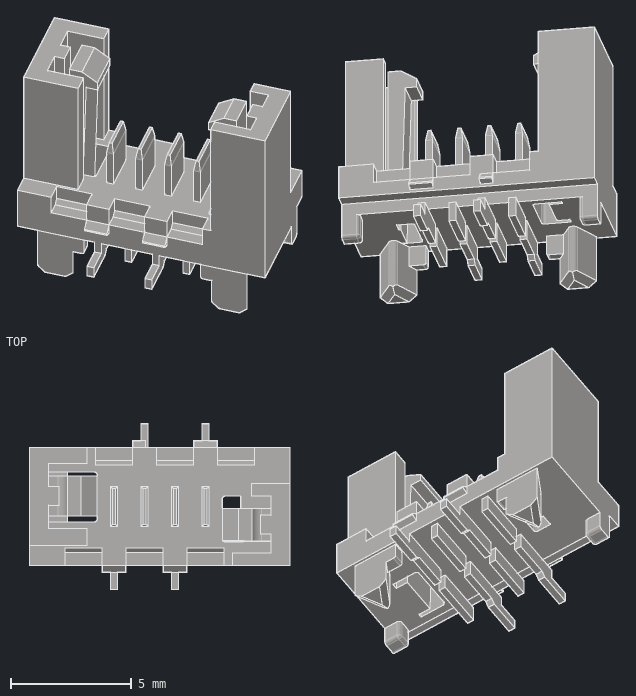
import cadquery as cq


length = 10.86
depth = 4.93
height = 7.41
base_height = 1.94
half_length = length / 2
half_depth = depth / 2

tower_inner_x = 3.04
cavity_end_x = 4.63
rib_length = 0.43
rib_width = 0.79

left_tower_front_y = -1.63
left_cavity_front_y = -0.91
left_cavity_back_y = 1.79

right_tower_back_y = 0.96
right_cavity_back_y = 0.43
right_cavity_front_y = -1.94
right_back_arm_x = 3.82

board_notch_height = 0.52
board_notch_front_y = 1.79

pitch = 1.27
first_recess_x = -2.5 * pitch
recess_count = 3
recess_width = 1.55
tooth_width = 2 * pitch - recess_width
recess_floor_z = 1.11
recess_floor_depth = 0.54
recess_slope = 0.2
catch_reach = 0.28
catch_tip_bottom_z = 0.76
catch_bottom_z = 0.64
short_catch_width = 0.54

hook_tip_x = 2.61
hook_bottom_z = 6.47
hook_tip_z = 6.85
hook_slope_end_x = 3.28
latch_top_z = 7.27
latch_back_x = 3.83
latch_front_top_x = 3.1
latch_front_bottom_x = 3.28
latch_root_z = 1.3
latch_root_radius = 0.4
left_latch_width = 1.67
right_latch_width = 1.35
side_floor_z = 0.87
hole_corner_radius = 0.13
left_hole_front_y = -0.64
left_hole_back_y = 1.43
right_hole_front_y = -1.47
right_hole_wide_x = 3.37

pin_count = 4
pin_thickness = 0.3
pin_width = 1.67
pin_top_z = 4.06
pin_shoulder_z = 3.57
pin_tip_inset = 0.09
leg_inner_y = 0.16
stub_outer_y = 2.27
leg_bottom_z = -0.84
lead_bend_y = 1.93
lead_top_z = -0.52
lead_bottom_z = -1.03
lead_span = 6.92

post_length = 0.77
post_front_y = 1.08
post_back_y = board_notch_front_y
post_radius = 0.14
foot_bottom_z = -2.29
foot_front_y = -2.33
foot_half_width = 0.78
foot_centre_x = 3.81
foot_apex_y = -0.84
foot_apex_radius = 0.21
foot_chamfer = 0.29
foot_step_end_x = 2.55
foot_step_depth = 0.49
foot_step_bottom_z = -0.87
foot_step_radius = 0.11


def block(x_range, y_range, z_range):
    """Axis-aligned block between three pairs of limits."""
    sizes = [abs(b - a) for a, b in (x_range, y_range, z_range)]
    corner = [min(pair) for pair in (x_range, y_range, z_range)]
    return cq.Workplane("XY").box(*sizes, centered=False).translate(tuple(corner))


def extrude_along_x(outline_yz, x_range):
    """Prism with a (y, z) outline, spanning x_range."""
    start, end = x_range
    return cq.Workplane("YZ", origin=(start, 0, 0)).polyline(outline_yz).close().extrude(end - start)


def extrude_along_y(outline_xz, y_range):
    """Prism with an (x, z) outline, spanning y_range."""
    start, end = y_range
    return cq.Workplane("XZ", origin=(0, start, 0)).polyline(outline_xz).close().extrude(start - end)


def half_turn(shape):
    """Copy turned 180 degrees about the Z axis."""
    return shape.rotate((0, 0, 0), (0, 0, 1), 180)


def tower(side, y_range, cavity_y_range):
    """U-shaped tower on the end given by side, with a rib on its outer wall."""
    z_range = (base_height, height)
    outer_x = side * half_length
    wall_x = side * cavity_end_x
    inner_x = side * tower_inner_x
    rib_y = sum(cavity_y_range) / 2
    body = block((outer_x, inner_x), y_range, z_range)
    body = body.cut(block((wall_x, inner_x), cavity_y_range, z_range))
    return body.union(block((outer_x, wall_x - side * rib_length),
                            (rib_y - rib_width / 2, rib_y + rib_width / 2), z_range))


def side_recesses():
    """The three open recesses in the front edge of the base, as cutting tools."""
    floor_y = -half_depth + recess_floor_depth
    wall_y = floor_y + recess_slope
    outline = [
        (-half_depth, base_height),
        (-half_depth, recess_floor_z),
        (floor_y, recess_floor_z),
        (wall_y, recess_floor_z + recess_slope),
        (wall_y, base_height),
    ]
    tools = cq.Workplane("XY")
    for index in range(recess_count):
        centre = first_recess_x + 2 * index * pitch
        tools = tools.union(extrude_along_x(outline, (centre - recess_width / 2, centre + recess_width / 2)))
    return tools


def catch(x_range):
    """Wedge-shaped catch on the front face."""
    tip_y = -half_depth - catch_reach
    outline = [
        (-half_depth, recess_floor_z),
        (tip_y, recess_floor_z - catch_reach),
        (tip_y, catch_tip_bottom_z),
        (-half_depth, catch_bottom_z),
    ]
    return extrude_along_x(outline, x_range)


def latch(side, y_centre, width):
    """Upright latch with an inward hook, rooted in the outer wall of its cavity."""
    outline = [
        (hook_tip_x, hook_tip_z),
        (hook_tip_x, hook_bottom_z),
        (latch_front_top_x, hook_bottom_z),
        (latch_front_bottom_x, 0),
        (cavity_end_x, 0),
        (cavity_end_x, latch_root_z),
        (latch_back_x, latch_root_z),
        (latch_back_x, latch_top_z),
        (hook_slope_end_x, latch_top_z),
    ]
    signed_outline = [(side * x, z) for x, z in outline]
    body = extrude_along_y(signed_outline, (y_centre - width / 2, y_centre + width / 2))
    root_corner = cq.selectors.NearestToPointSelector((side * latch_back_x, y_centre, latch_root_z))
    return body.edges("|Y").edges(root_corner).fillet(latch_root_radius)


def latch_hole(side, y_range, end_x, round_selector):
    """Vertical opening in the base from the hook tip out to end_x."""
    hole = block((side * hook_tip_x, side * end_x), y_range, (0, base_height))
    return hole.edges(round_selector).fillet(hole_corner_radius)


def contact(x_centre, lead_side):
    """Flat contact: tapered blade, a surface-mount lead on one side and a stub on the other."""
    x_range = (x_centre - pin_thickness / 2, x_centre + pin_thickness / 2)
    blade = block(x_range, (-pin_width / 2, pin_width / 2), (0, pin_shoulder_z))
    taper = (
        cq.Workplane("XY", origin=(x_centre, 0, pin_shoulder_z))
        .rect(pin_thickness, pin_width)
        .workplane(offset=pin_top_z - pin_shoulder_z)
        .rect(pin_thickness - 2 * pin_tip_inset, pin_width - 2 * pin_tip_inset)
        .loft(combine=True)
    )
    bend_start_y = lead_bend_y - (leg_bottom_z - lead_bottom_z)
    lead_end_y = lead_span / 2
    lead_outline = [
        (leg_inner_y, 0),
        (leg_inner_y, leg_bottom_z),
        (bend_start_y, leg_bottom_z),
        (lead_bend_y, lead_bottom_z),
        (lead_end_y, lead_bottom_z),
        (lead_end_y, lead_top_z),
        (half_depth, lead_top_z),
        (half_depth, 0),
    ]
    lead = extrude_along_x([(lead_side * y, z) for y, z in lead_outline], x_range)
    stub = block(x_range, (-lead_side * leg_inner_y, -lead_side * stub_outer_y), (leg_bottom_z, 0))
    return blade.union(taper).union(lead).union(stub)


def post():
    """Short board post under the right end, rounded except on its outer end."""
    body = block((half_length - post_length, half_length), (post_front_y, post_back_y), (lead_bottom_z, 0))
    return body.edges("(<X and |Z) or (<Z and (not >X))").fillet(post_radius)


def foot():
    """Right locating foot: triangular prong with a chamfered tip, and a step towards the centre."""
    prong = (
        cq.Workplane("XY")
        .polyline([
            (foot_centre_x - foot_half_width, foot_front_y),
            (foot_centre_x + foot_half_width, foot_front_y),
            (foot_centre_x, foot_apex_y),
        ])
        .close()
        .extrude(foot_bottom_z)
    )
    prong = prong.faces("<Z").edges("not <Y").chamfer(foot_chamfer)
    prong = prong.edges("|Z and >Y").fillet(foot_apex_radius)
    step = block((foot_step_end_x, foot_centre_x), (foot_front_y, foot_front_y + foot_step_depth),
                 (foot_step_bottom_z, 0))
    return prong.union(step.edges("<X and <Z").fillet(foot_step_radius))


base = block((-half_length, half_length), (-half_depth, half_depth), (0, base_height))
base = base.cut(block((-half_length, half_length), (board_notch_front_y, half_depth),
                      (0, board_notch_height)))
recesses = side_recesses()
base = base.cut(recesses).cut(half_turn(recesses))

left_cavity = (left_cavity_front_y, left_cavity_back_y)
right_cavity = (right_cavity_front_y, right_cavity_back_y)
housing = base.union(tower(-1, (left_tower_front_y, half_depth), left_cavity))
housing = housing.union(tower(1, (-half_depth, right_tower_back_y), right_cavity))
housing = housing.cut(block((tower_inner_x, right_back_arm_x), (right_cavity_back_y, right_tower_back_y),
                            (base_height, height)))

left_latch_y = sum(left_cavity) / 2
right_latch_y = sum(right_cavity) / 2
right_latch_back_y = right_latch_y + right_latch_width / 2
left_hole_y = (left_hole_front_y, left_hole_back_y)
right_slot_y = (right_hole_front_y, right_latch_back_y)
pocket = (side_floor_z, base_height)
housing = housing.cut(latch_hole(-1, left_hole_y, latch_back_x, "|Z and >X"))
housing = housing.cut(latch_hole(1, (right_hole_front_y, right_cavity_back_y),
                                 right_hole_wide_x, "|Z and <X"))
housing = housing.cut(block((right_hole_wide_x, latch_back_x), right_slot_y, (0, base_height)))
housing = housing.cut(block((-cavity_end_x, -latch_back_x), left_hole_y, pocket))
housing = housing.cut(block((latch_back_x, cavity_end_x), right_slot_y, pocket))
housing = housing.union(latch(-1, left_latch_y, left_latch_width))
housing = housing.union(latch(1, right_latch_y, right_latch_width))

for index in range(pin_count):
    pin_x = (index - (pin_count - 1) / 2) * pitch
    lead_side = -1 if index % 2 == 0 else 1
    housing = housing.union(contact(pin_x, lead_side))

for tooth_x in (first_recess_x + pitch, first_recess_x + 3 * pitch):
    tooth_start = tooth_x - tooth_width / 2
    tooth_end = tooth_x + tooth_width / 2
    housing = housing.union(catch((tooth_start, tooth_end)))
    back_start = tooth_end - short_catch_width if tooth_x > 0 else tooth_start
    housing = housing.union(half_turn(catch((back_start, tooth_end))))

for support in (post(), foot()):
    housing = housing.union(support).union(support.mirror("YZ"))

result = housing